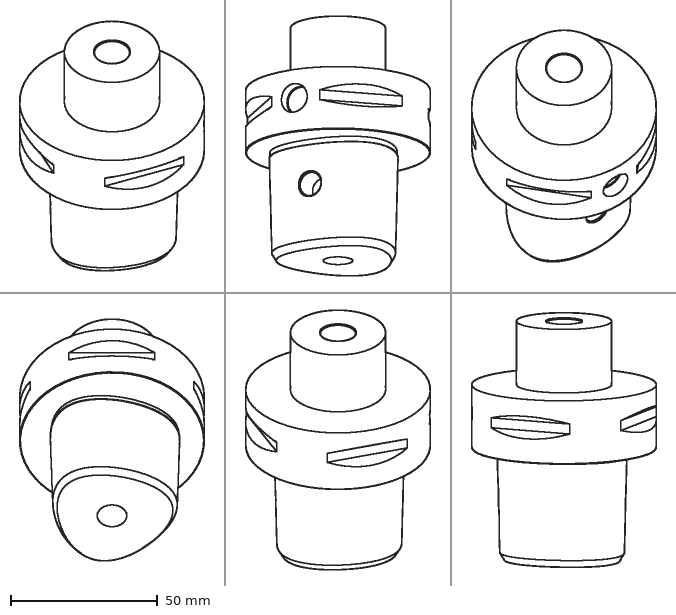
import cadquery as cq
import math

TOTAL_HEIGHT = 82.0
FLANGE_TOP = 60.0
FLANGE_BOTTOM = 38.05
TAPER_TOP = 36.2
TIP_BEVEL_HEIGHT = 2.6

FLANGE_DIAMETER = 63.0
BOSS_DIAMETER = 32.5
FLANGE_EDGE_BEVEL = 0.25

SHANK_TOP_RADIUS = 22.0
LOBE_OFFSET = 1.5
TAPER_RATIO = 1 / 40
TIP_BEVEL_ANGLE = 30.0
NECK_INSET = 0.25

POINT_ANGLE = 118.0

BORE_DIAMETER = 10.0
THREAD_DIAMETER = 12.0
THREAD_DEPTH = TOTAL_HEIGHT - FLANGE_TOP
THREAD_BEVEL = 0.25
THREAD_BEVEL_ANGLE = 60.0

GROOVE_COUNT = 4
GROOVE_HEIGHT = 50.3
GROOVE_FLOOR_WIDTH = 3.45
GROOVE_FLOOR_DISTANCE = 27.9
GROOVE_WALL_ANGLE = 31.0

POCKET_DIAMETER = 10.0
POCKET_HEIGHT = 50.0
POCKET_FLOOR_DISTANCE = 26.9
POCKET_FLOOR_BEVEL = 0.25

DRILL_DIAMETER = 8.1
DRILL_HEIGHT = 22.5
DRILL_BOTTOM_DISTANCE = 10.7
DRILL_BEVEL = 0.4
DRILL_BEVEL_DISTANCE = 19.9

FLANGE_RADIUS = FLANGE_DIAMETER / 2


def lobed_outline(work, radius):
    """Closed three-lobed curve (hypotrochoid) with one lobe toward +X."""
    def point(turn):
        angle = 2 * math.pi * turn
        x = radius * math.cos(angle) + LOBE_OFFSET * math.cos(2 * angle)
        y = radius * math.sin(angle) - LOBE_OFFSET * math.sin(2 * angle)
        return (x, y)

    return work.parametricCurve(point, N=72, makeWire=True)


def lobed_frustum(bottom, bottom_radius, top, top_radius):
    base = lobed_outline(cq.Workplane("XY").workplane(offset=bottom), bottom_radius)
    both = lobed_outline(base.workplane(offset=top - bottom), top_radius)
    return both.loft(ruled=True, combine=True)


def make_shank():
    taper_bottom_radius = SHANK_TOP_RADIUS - TAPER_RATIO * (TAPER_TOP - TIP_BEVEL_HEIGHT)
    tip_inset = TIP_BEVEL_HEIGHT * math.tan(math.radians(TIP_BEVEL_ANGLE))
    neck_radius = SHANK_TOP_RADIUS - NECK_INSET
    tip = lobed_frustum(0, taper_bottom_radius - tip_inset, TIP_BEVEL_HEIGHT, taper_bottom_radius)
    taper = lobed_frustum(TIP_BEVEL_HEIGHT, taper_bottom_radius, TAPER_TOP, SHANK_TOP_RADIUS)
    neck = lobed_frustum(TAPER_TOP, neck_radius, FLANGE_BOTTOM, neck_radius)
    return tip.union(taper).union(neck)


def make_flange_and_boss():
    flange = (
        cq.Workplane("XY", origin=(0, 0, FLANGE_BOTTOM))
        .circle(FLANGE_RADIUS)
        .extrude(FLANGE_TOP - FLANGE_BOTTOM)
        .faces("<Z").chamfer(FLANGE_EDGE_BEVEL)
    )
    boss = (
        cq.Workplane("XY", origin=(0, 0, FLANGE_TOP))
        .circle(BOSS_DIAMETER / 2)
        .extrude(TOTAL_HEIGHT - FLANGE_TOP)
    )
    return flange.union(boss)


def make_bore():
    bore_radius = BORE_DIAMETER / 2
    thread_radius = THREAD_DIAMETER / 2
    thread_bottom = TOTAL_HEIGHT - THREAD_DEPTH
    step_length = (thread_radius - bore_radius) / math.tan(math.radians(POINT_ANGLE / 2))
    bevel_depth = THREAD_BEVEL / math.tan(math.radians(THREAD_BEVEL_ANGLE / 2))
    return (
        cq.Workplane("XZ")
        .moveTo(0, 0)
        .lineTo(bore_radius, 0)
        .lineTo(bore_radius, thread_bottom - step_length)
        .lineTo(thread_radius, thread_bottom)
        .lineTo(thread_radius, TOTAL_HEIGHT - bevel_depth)
        .lineTo(thread_radius + THREAD_BEVEL, TOTAL_HEIGHT)
        .lineTo(0, TOTAL_HEIGHT)
        .close()
        .revolve(360, (0, 0, 0), (0, 1, 0))
    )


def make_groove(angle):
    """Straight groove with sloped walls and a flat floor, facing the given direction."""
    depth = FLANGE_RADIUS - GROOVE_FLOOR_DISTANCE
    floor_half = GROOVE_FLOOR_WIDTH / 2
    mouth_half = floor_half + depth * math.tan(math.radians(GROOVE_WALL_ANGLE))
    return (
        cq.Workplane("XZ")
        .moveTo(GROOVE_FLOOR_DISTANCE, GROOVE_HEIGHT - floor_half)
        .lineTo(FLANGE_RADIUS, GROOVE_HEIGHT - mouth_half)
        .lineTo(FLANGE_RADIUS, GROOVE_HEIGHT + mouth_half)
        .lineTo(GROOVE_FLOOR_DISTANCE, GROOVE_HEIGHT + floor_half)
        .close()
        .extrude(FLANGE_RADIUS, both=True)
        .rotate((0, 0, 0), (0, 0, 1), angle)
    )


def make_pocket():
    return (
        cq.Workplane("YZ", origin=(-FLANGE_RADIUS, 0, POCKET_HEIGHT))
        .circle(POCKET_DIAMETER / 2)
        .extrude(FLANGE_RADIUS - POCKET_FLOOR_DISTANCE)
        .faces(">X").chamfer(POCKET_FLOOR_BEVEL)
    )


def make_drilled_hole():
    """Hole along X with a conical bottom and a bevelled mouth."""
    radius = DRILL_DIAMETER / 2
    point_length = radius / math.tan(math.radians(POINT_ANGLE / 2))
    return (
        cq.Workplane("XY", origin=(0, 0, DRILL_HEIGHT))
        .moveTo(-FLANGE_RADIUS, 0)
        .lineTo(-FLANGE_RADIUS, radius + DRILL_BEVEL)
        .lineTo(-DRILL_BEVEL_DISTANCE, radius + DRILL_BEVEL)
        .lineTo(DRILL_BEVEL - DRILL_BEVEL_DISTANCE, radius)
        .lineTo(-DRILL_BOTTOM_DISTANCE, radius)
        .lineTo(point_length - DRILL_BOTTOM_DISTANCE, 0)
        .close()
        .revolve(360, (0, 0, 0), (1, 0, 0))
    )


result = make_shank().union(make_flange_and_boss())
result = result.cut(make_bore())
for index in range(GROOVE_COUNT):
    result = result.cut(make_groove((index + 0.5) * 360 / GROOVE_COUNT))
result = result.cut(make_pocket()).cut(make_drilled_hole())